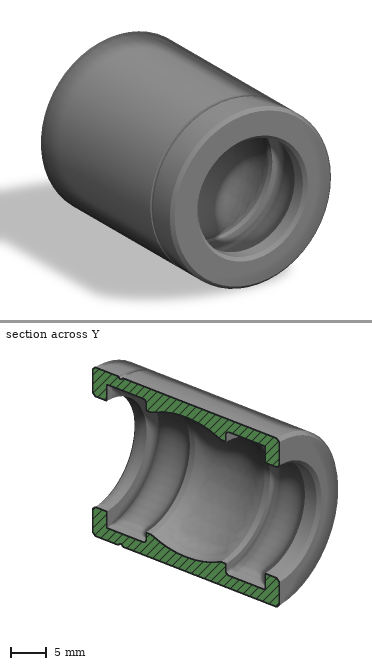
import cadquery as cq

length = 33.7
outer_radius = 27.0 / 2
bore_radius = 17.6 / 2
chamfer = 0.5

groove_center_x = 28.6
groove_radius = 0.32

end_land_length = 2.6
chamber_radius = 22.8 / 2
chamber_end_x = 9.65
chamber_fillet = 0.55
inner_land_radius = 19.4 / 2
inner_land_length = 0.95
barrel_radius = 22.2 / 2


def x_cylinder(radius, start, end):
    """Cylinder along the X axis between two X positions."""
    return cq.Workplane("YZ").workplane(offset=start).circle(radius).extrude(end - start)


def sleeve():
    """Chamfered tube with its end bores running right through."""
    blank = x_cylinder(outer_radius, 0, length)
    tube = blank.cut(x_cylinder(bore_radius, 0, length))
    return tube.faces("<X or >X").edges().chamfer(chamfer)


def outer_groove():
    """Ring of round section that cuts the semicircular snap groove."""
    return (
        cq.Workplane("XY")
        .center(groove_center_x, outer_radius)
        .circle(groove_radius)
        .revolve(360, (0, -outer_radius, 0), (1, -outer_radius, 0))
    )


def end_chamber():
    """Wide chamber behind the left end land, rounded at its inner corner."""
    blank = x_cylinder(chamber_radius, end_land_length, chamber_end_x)
    return blank.faces(">X").edges().fillet(chamber_fillet)


def middle_cavity():
    """Inner lands with a barrel-shaped bulge between them."""
    barrel_start = chamber_end_x + inner_land_length
    land_end = length - chamber_end_x
    return (
        cq.Workplane("XY")
        .moveTo(chamber_end_x, 0)
        .lineTo(chamber_end_x, inner_land_radius)
        .lineTo(barrel_start, inner_land_radius)
        .threePointArc((length / 2, barrel_radius), (length - barrel_start, inner_land_radius))
        .lineTo(land_end, inner_land_radius)
        .lineTo(land_end, 0)
        .close()
        .revolve(360, (0, 0, 0), (1, 0, 0))
    )


left_chamber = end_chamber()
right_chamber = left_chamber.mirror("YZ", (length / 2, 0, 0))

result = sleeve().cut(outer_groove()).cut(middle_cavity())
for chamber in (left_chamber, right_chamber):
    result = result.cut(chamber)